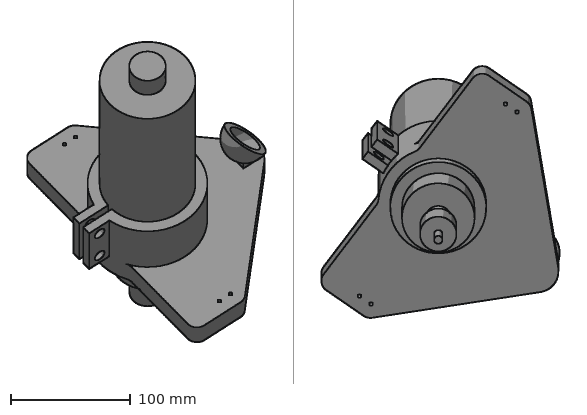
import cadquery as cq
import math


body_dia = 80.0
cap_dia = 30.5
nose_dia = 60.5
shaft_dia = 21.0
collet_dia = 30.5
tool_dia = 7.0

plate_thickness = 21.0
plate_width = 232.0
plate_half_width = plate_width / 2
plate_front_y = -41.5
plate_back_y = 119.5
side_arc_end_y = 7.0
corner_radius = 10.0
screw_hole_dia = 3.0
screw_hole_x = 104.0
screw_hole_y = 6.0

collar_radius = 50.0
collar_height = 50.0
collar_top = plate_thickness + collar_height
ear_front_y = -70.5
ears_width = 21.2
clamp_gap = 5.0
bolt_hole_dia = 10.3
bolt_hole_y = -59.2
bolt_hole_inset = 9.5

dish_y = 104.0
dish_height = 25.8
dish_radius = 21.0
bowl_radius = 15.0
dish_tilt = 45
post_side = 17.2
post_height = dish_height - bowl_radius - 0.3

body_above_collar = 144.0
body_below_plate = 10.0
cap_length = 20.0
nose_length = 27.0
shaft_length = 22.0
collet_length = 22.0
tool_length = 15.5


def make_spindle():
    """Stack of coaxial cylinders, from the cap down to the cutting tool."""
    body_length = body_above_collar + collar_top + body_below_plate
    sections = [
        (cap_dia, cap_length),
        (body_dia, body_length),
        (nose_dia, nose_length),
        (shaft_dia, shaft_length),
        (collet_dia, collet_length),
        (tool_dia, tool_length),
    ]
    top = collar_top + body_above_collar + cap_length
    spindle = cq.Workplane("XY")
    for diameter, length in sections:
        section = cq.Workplane("XY", origin=(0, 0, top)).circle(diameter / 2).extrude(-length)
        spindle = spindle.union(section)
        top -= length
    return spindle


def make_plate():
    """Plate with two 45 degree rear edges meeting in a rounded apex."""
    shoulder_y = side_arc_end_y + corner_radius * math.tan(math.radians(22.5))
    apex_y = shoulder_y + plate_half_width
    apex_radius = (apex_y - plate_back_y) / (math.sqrt(2) - 1)
    plate = (
        cq.Workplane("XY")
        .polyline([
            (-plate_half_width, plate_front_y),
            (plate_half_width, plate_front_y),
            (plate_half_width, shoulder_y),
            (0, apex_y),
            (-plate_half_width, shoulder_y),
        ])
        .close()
        .extrude(plate_thickness)
    )
    plate = plate.edges("|Z").edges(">Y").fillet(apex_radius)
    plate = plate.edges("|Z").edges("<X or >X").fillet(corner_radius)
    holes = (
        cq.Workplane("XY")
        .rect(2 * screw_hole_x, 2 * screw_hole_y, forConstruction=True)
        .vertices()
        .circle(screw_hole_dia / 2)
        .extrude(plate_thickness)
    )
    return plate.cut(holes)


def make_collar_blends():
    """Concave fillets between the plate front edge and the collar."""
    center_y = plate_front_y - corner_radius
    center_distance = collar_radius + corner_radius
    center_x = math.sqrt(center_distance**2 - center_y**2)
    touch_x = center_x * collar_radius / center_distance
    touch_y = center_y * collar_radius / center_distance
    half = (
        cq.Workplane("XY")
        .moveTo(center_x, plate_front_y)
        .radiusArc((touch_x, touch_y), -corner_radius)
        .lineTo(touch_x, plate_front_y)
        .close()
        .extrude(plate_thickness)
    )
    return half.union(half.mirror("YZ"))


def make_collar():
    """Collar with two clamping ears, split above the plate and cross-drilled."""
    collar = cq.Workplane("XY").circle(collar_radius).extrude(collar_top)
    ears = (
        cq.Workplane("XY", origin=(0, ear_front_y / 2, plate_thickness))
        .rect(ears_width, -ear_front_y)
        .extrude(collar_height)
    )
    gap = (
        cq.Workplane("XY", origin=(0, ear_front_y / 2, plate_thickness))
        .rect(clamp_gap, -ear_front_y)
        .extrude(collar_height)
    )
    bolt_holes = (
        cq.Workplane("YZ")
        .pushPoints([
            (bolt_hole_y, plate_thickness + bolt_hole_inset),
            (bolt_hole_y, collar_top - bolt_hole_inset),
        ])
        .circle(bolt_hole_dia / 2)
        .extrude(ears_width / 2, both=True)
    )
    return collar.union(ears).cut(gap).cut(bolt_holes)


def make_dish():
    """Hollow hemisphere tilted toward +Y on a square post."""
    profile = (
        cq.Workplane("XZ")
        .moveTo(bowl_radius, 0)
        .lineTo(dish_radius, 0)
        .radiusArc((0, -dish_radius), dish_radius)
        .lineTo(0, -bowl_radius)
        .radiusArc((bowl_radius, 0), -bowl_radius)
        .close()
    )
    shell = (
        profile.revolve(360, (0, 0, 0), (0, 1, 0))
        .rotate((0, 0, 0), (1, 0, 0), -dish_tilt)
        .translate((0, dish_y, plate_thickness + dish_height))
    )
    post = (
        cq.Workplane("XY", origin=(0, dish_y, plate_thickness))
        .rect(post_side, post_side)
        .extrude(post_height)
    )
    return shell.union(post)


result = (
    make_plate()
    .union(make_collar())
    .union(make_collar_blends())
    .union(make_spindle())
    .union(make_dish())
)